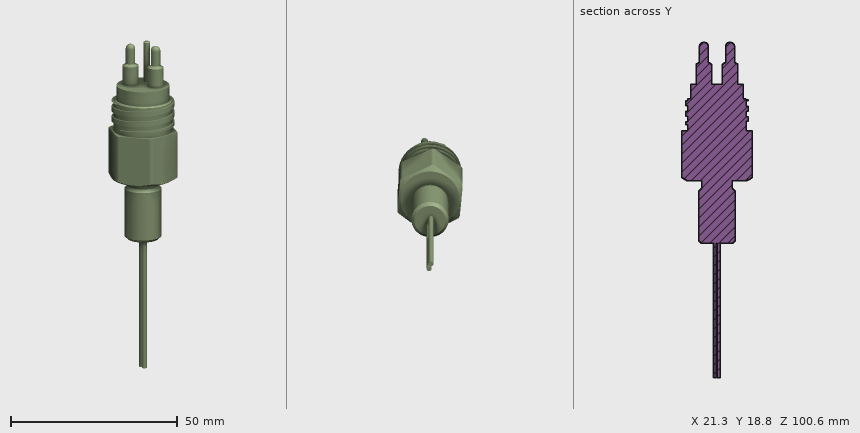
import cadquery as cq
import math

total_height = 100.6
sleeve_bottom = 40.2
sleeve_top = 56.8
hex_bottom = 59.0
hex_top = 74.1
thread_bottom = 75.8
body_top = 83.7
collar_top = 88.1
pin_shoulder = 94.6

sleeve_diameter = 11.2
neck_diameter = 9.4
sleeve_chamfer = (sleeve_diameter - neck_diameter) / 2

hex_across_flats = 18.8
hex_corner_radius = 1.3
hex_bottom_diameter = 17.7
hex_chamfer_angle = 30.0

body_diameter = 17.7
body_top_diameter = 17.1
body_chamfer = (body_diameter - body_top_diameter) / 2
thread_diameter = 18.8
thread_pitch = 3.1
thread_width = 1.6
thread_phase_height = 80.7
thread_root_overlap = 0.3
collar_diameter = 15.9

pin_offset = 3.9
pin_base_diameter = 4.8
pin_diameter = 2.8
pin_shoulder_height = 0.6
pin_dome_height = 1.3
earth_pin_diameter = 2.0
earth_pin_chamfer = 0.25

wire_diameter = 1.5
wire_spacing = 1.6


def cylinder(diameter, bottom, top, x=0.0, y=0.0):
    """Upright cylinder between two heights."""
    disc = cq.Workplane("XY").workplane(offset=bottom).center(x, y).circle(diameter / 2)
    return disc.extrude(top - bottom)


def make_sleeve():
    sleeve = cylinder(sleeve_diameter, sleeve_bottom, sleeve_top)
    sleeve = sleeve.faces("<Z or >Z").chamfer(sleeve_chamfer)
    return sleeve.union(cylinder(neck_diameter, sleeve_top - sleeve_chamfer, hex_top))


def make_hex():
    """Hexagon with rounded corners and a conical bottom chamfer."""
    across_corners = hex_across_flats / math.cos(math.radians(30))
    nut = (
        cq.Workplane("XY")
        .workplane(offset=hex_bottom)
        .polygon(6, across_corners)
        .extrude(hex_top - hex_bottom)
        .edges("|Z")
        .fillet(hex_corner_radius)
    )
    inner_radius = hex_bottom_diameter / 2
    outer_radius = across_corners / 2
    cone_height = (outer_radius - inner_radius) * math.tan(math.radians(hex_chamfer_angle))
    envelope = (
        cq.Workplane("XZ")
        .moveTo(0, hex_bottom)
        .lineTo(inner_radius, hex_bottom)
        .lineTo(outer_radius, hex_bottom + cone_height)
        .lineTo(outer_radius, hex_top)
        .lineTo(0, hex_top)
        .close()
        .revolve(360, (0, 0, 0), (0, 1, 0))
    )
    return nut.intersect(envelope)


def make_thread():
    """Right-handed square ridge, trimmed flat at both ends of the thread."""
    root_radius = body_diameter / 2 - thread_root_overlap
    crest_radius = thread_diameter / 2
    turns_below = math.ceil((thread_phase_height - thread_bottom + thread_width) / thread_pitch)
    turns_above = math.ceil((body_top - thread_phase_height + thread_width) / thread_pitch)
    start = thread_phase_height - turns_below * thread_pitch
    length = (turns_below + turns_above) * thread_pitch
    path = cq.Wire.makeHelix(thread_pitch, length, root_radius)
    ridge = (
        cq.Workplane("XZ")
        .center((root_radius + crest_radius) / 2, 0)
        .rect(crest_radius - root_radius, thread_width)
        .sweep(cq.Workplane(path), isFrenet=True)
        .rotate((0, 0, 0), (0, 0, 1), 180)
        .translate((0, 0, start))
    )
    return ridge.intersect(cylinder(2 * thread_diameter, thread_bottom, body_top - body_chamfer))


def make_body():
    body = cylinder(body_diameter, hex_top, body_top).faces(">Z").chamfer(body_chamfer)
    return body.union(make_thread()).union(cylinder(collar_diameter, body_top, collar_top))


def make_contact_pin(x):
    """Stepped pin with a conical shoulder and a domed tip."""
    base_radius = pin_base_diameter / 2
    radius = pin_diameter / 2
    dome_start = total_height - pin_dome_height
    dome_radius = (radius**2 + pin_dome_height**2) / (2 * pin_dome_height)
    dome_centre = total_height - dome_radius
    mid_angle = math.asin(radius / dome_radius) / 2
    dome_middle = (dome_radius * math.sin(mid_angle), dome_centre + dome_radius * math.cos(mid_angle))
    pin = (
        cq.Workplane("XZ")
        .moveTo(0, collar_top)
        .lineTo(base_radius, collar_top)
        .lineTo(base_radius, pin_shoulder - pin_shoulder_height)
        .lineTo(radius, pin_shoulder)
        .lineTo(radius, dome_start)
        .threePointArc(dome_middle, (0, total_height))
        .close()
        .revolve(360, (0, 0, 0), (0, 1, 0))
    )
    return pin.translate((x, 0, 0))


def make_earth_pin():
    pin = cylinder(earth_pin_diameter, collar_top, total_height, y=pin_offset)
    return pin.faces(">Z").chamfer(earth_pin_chamfer)


result = make_sleeve().union(make_hex()).union(make_body()).union(make_earth_pin())

for side in (-1, 1):
    result = result.union(make_contact_pin(side * pin_offset))
    wire_offset = side * wire_spacing / 2 * math.cos(math.radians(45))
    wire = cylinder(wire_diameter, 0, sleeve_bottom + sleeve_chamfer, wire_offset, -wire_offset)
    result = result.union(wire)